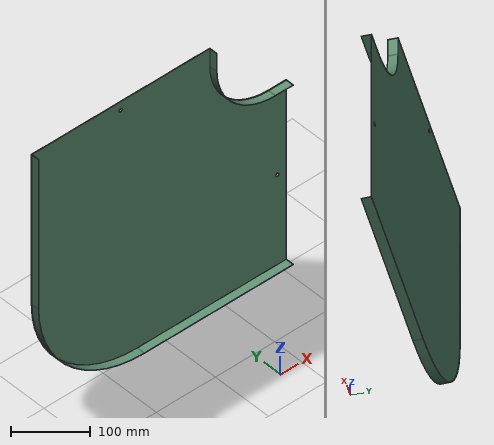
import cadquery as cq

side = 431.0
depth = 14.0
sheet = 0.78
arm_width = 302.0
outer_radius = 179.5
inner_radius = 98.5

hole_diameter = 5.0
hole_edge_distance = 15.0

half = side / 2
arm_edge = arm_width - half
arm_middle = arm_width / 2 - half


def bend_plate(inset, thickness):
    """Plate whose flanged edges lie inside the outline by inset; open ends stay put.

    The plate starts on the back face and grows toward -Y.
    """
    low = -half + inset
    inner = arm_edge - inset
    outer_centre = -half + outer_radius
    inner_centre = arm_edge + inner_radius
    outer_arc = outer_radius - inset
    inner_arc = inner_radius + inset
    diagonal = 0.5**0.5
    outer_mid = outer_centre - outer_arc * diagonal
    inner_mid = inner_centre - inner_arc * diagonal
    return (
        cq.Workplane("XZ", origin=(0, depth / 2, 0))
        .moveTo(low, half)
        .lineTo(low, outer_centre)
        .threePointArc((outer_mid, outer_mid), (outer_centre, low))
        .lineTo(half, low)
        .lineTo(half, inner)
        .lineTo(inner_centre, inner)
        .threePointArc((inner_mid, inner_mid), (inner, inner_centre))
        .lineTo(inner, half)
        .close()
        .extrude(thickness)
    )


def screw_holes():
    """Cutters through the panel at the two open ends."""
    end = half - hole_edge_distance
    return (
        cq.Workplane("XZ", origin=(0, depth / 2, 0))
        .pushPoints([(arm_middle, end), (end, arm_middle)])
        .circle(hole_diameter / 2)
        .extrude(depth)
    )


flanges = bend_plate(0, depth).cut(bend_plate(sheet, depth))
panel = bend_plate(0, sheet)
result = panel.union(flanges).cut(screw_holes())